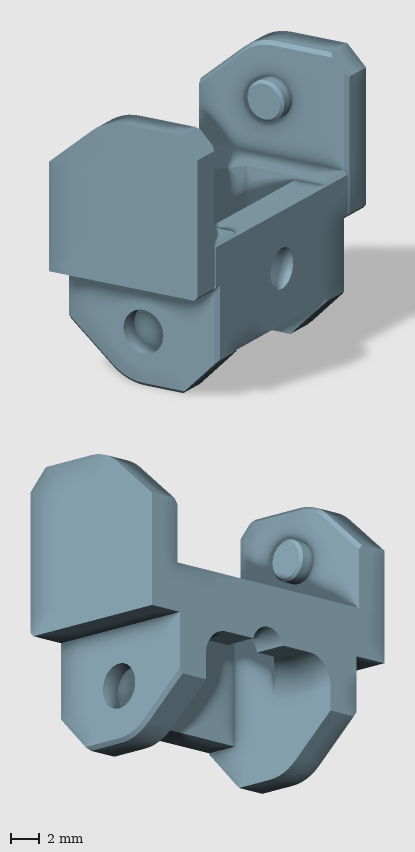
import cadquery as cq
import math

DEPTH = 12.0
WIDTH = 22.4
HEIGHT = 20.0
HALF_DEPTH = DEPTH / 2

END_RADIUS = 4.0
END_SLOPE = math.radians(40)
LOWER_PIVOT_Z = END_RADIUS
UPPER_PIVOT_Z = HEIGHT - END_RADIUS

PLATE_GAP = 17.5
PLATE_BOTTOM = 8.15
PLATE_CORNER = 1.5
FLOOR_Z = 11.65
PIN_DIAMETER = 3.0
PIN_LENGTH = 1.2
PIN_CHAMFER = 0.2

LUG_SPAN = 17.05
LUG_GAP = 12.0
LUG_CORNER = 2.95
PIVOT_HOLE_DIAMETER = 3.2
PIVOT_HOLE_DEPTH = 1.4
ARCH_TOP = 7.6
ARCH_RADIUS = 2.0

WALL_FRONT_X = 3.47
WALL_BOTTOM = 3.05
WINDOW_FRONT_X = -3.45
WINDOW_CORNER = 2.95
CROSS_HOLE_DIAMETER = 3.0
CROSS_HOLE_Z = 7.17

EDGE_CHAMFER = 0.27


def box(x_min, x_max, width, z_min, z_max):
    """Block centred on Y."""
    size_x = x_max - x_min
    size_z = z_max - z_min
    return cq.Workplane("XY").box(size_x, width, size_z).translate(
        ((x_min + x_max) / 2, 0, (z_min + z_max) / 2)
    )


def end_profile(pivot_z, direction, base_z, y_start):
    """Outline in XZ with a rounded, sloped front and a square rear; direction is +1 up or -1 down."""
    tip_z = pivot_z + direction * END_RADIUS

    def on_arc(angle):
        return (-END_RADIUS * math.sin(angle), pivot_z + direction * END_RADIUS * math.cos(angle))

    slope_start = on_arc(END_SLOPE)
    slope_run = HALF_DEPTH + slope_start[0]
    front_z = slope_start[1] - direction * slope_run * math.tan(END_SLOPE)
    return (
        cq.Workplane("XZ", origin=(0, y_start, 0))
        .moveTo(-HALF_DEPTH, base_z)
        .lineTo(-HALF_DEPTH, front_z)
        .lineTo(*slope_start)
        .threePointArc(on_arc(END_SLOPE / 2), (0, tip_z))
        .lineTo(HALF_DEPTH, tip_z)
        .lineTo(HALF_DEPTH, base_z)
        .close()
    )


def rear_corner(tip_z, direction, size):
    """Triangular prism that clips the rear corner of a rounded end."""
    return (
        cq.Workplane("XZ")
        .moveTo(HALF_DEPTH - size, tip_z)
        .lineTo(HALF_DEPTH, tip_z)
        .lineTo(HALF_DEPTH, tip_z - direction * size)
        .close()
        .extrude(WIDTH / 2)
    )


def chamfer_outline(body, face, edge_filter):
    """Chamfer the edges around one face, leaving its vertical front edge sharp."""
    front_edge = cq.selectors.StringSyntaxSelector("<X")
    outline = cq.selectors.StringSyntaxSelector(edge_filter)
    return body.faces(face).edges(cq.selectors.SubtractSelector(outline, front_edge)).chamfer(EDGE_CHAMFER)


def make_plate():
    """Upper plate on the -Y side with its inward pin."""
    thickness = (WIDTH - PLATE_GAP) / 2
    plate = end_profile(UPPER_PIVOT_Z, 1, PLATE_BOTTOM, -PLATE_GAP / 2).extrude(thickness)
    plate = chamfer_outline(plate, ">Y", "not <Z")
    plate = plate.faces("<Z").edges(">X").chamfer(EDGE_CHAMFER)
    plate = plate.cut(rear_corner(HEIGHT, 1, PLATE_CORNER))
    pin = (
        cq.Workplane("XZ", origin=(0, -PLATE_GAP / 2, UPPER_PIVOT_Z))
        .circle(PIN_DIAMETER / 2)
        .extrude(-PIN_LENGTH)
        .faces(">Y")
        .chamfer(PIN_CHAMFER)
    )
    return plate.union(pin)


def make_lug():
    """Lower lug on the -Y side with its blind pivot hole."""
    thickness = (LUG_SPAN - LUG_GAP) / 2
    lug = end_profile(LOWER_PIVOT_Z, -1, FLOOR_Z, -LUG_GAP / 2).extrude(thickness)
    lug = chamfer_outline(lug, "<Y", "not >Z")
    lug = lug.cut(rear_corner(0, -1, LUG_CORNER))
    lug = lug.faces(">Z").edges(">X").chamfer(EDGE_CHAMFER)
    hole = (
        cq.Workplane("XZ", origin=(0, -LUG_SPAN / 2, LOWER_PIVOT_Z))
        .circle(PIVOT_HOLE_DIAMETER / 2)
        .extrude(-PIVOT_HOLE_DEPTH)
    )
    return lug.cut(hole)


def make_body():
    """Bridge between the lugs, its arched underside opening and the rear wall."""
    bridge = box(-HALF_DEPTH, WALL_FRONT_X, LUG_GAP, ARCH_TOP, FLOOR_Z)
    spandrel = box(-HALF_DEPTH, WALL_FRONT_X, LUG_GAP, ARCH_TOP - ARCH_RADIUS, ARCH_TOP)
    arch = box(-HALF_DEPTH, WALL_FRONT_X, LUG_GAP, 0, ARCH_TOP)
    arch = arch.faces(">Z").edges("|X").fillet(ARCH_RADIUS)
    wall = box(WALL_FRONT_X, HALF_DEPTH, LUG_GAP, WALL_BOTTOM, FLOOR_Z - EDGE_CHAMFER)
    return bridge.union(spandrel.cut(arch)).union(wall)


def make_shoulders():
    """Full-width floor outside the lugs, chamfered along its rear edge."""
    floor = box(-HALF_DEPTH, HALF_DEPTH, PLATE_GAP, PLATE_BOTTOM, FLOOR_Z)
    floor = floor.edges(">X and |Y").chamfer(EDGE_CHAMFER)
    return floor.cut(box(-HALF_DEPTH, HALF_DEPTH, LUG_GAP, PLATE_BOTTOM, FLOOR_Z))


def make_window():
    """Vertical opening in front of the rear wall with two clipped front corners."""
    window = box(WINDOW_FRONT_X, WALL_FRONT_X, LUG_GAP, 0, HEIGHT)
    return window.edges("|Z and <X").chamfer(WINDOW_CORNER)


side = make_plate().union(make_lug())
cross_hole = (
    cq.Workplane("YZ", origin=(-HALF_DEPTH, 0, CROSS_HOLE_Z))
    .circle(CROSS_HOLE_DIAMETER / 2)
    .extrude(DEPTH)
)
result = (
    make_body()
    .union(make_shoulders())
    .union(side)
    .union(side.mirror("XZ"))
    .cut(make_window())
    .cut(cross_hole)
)